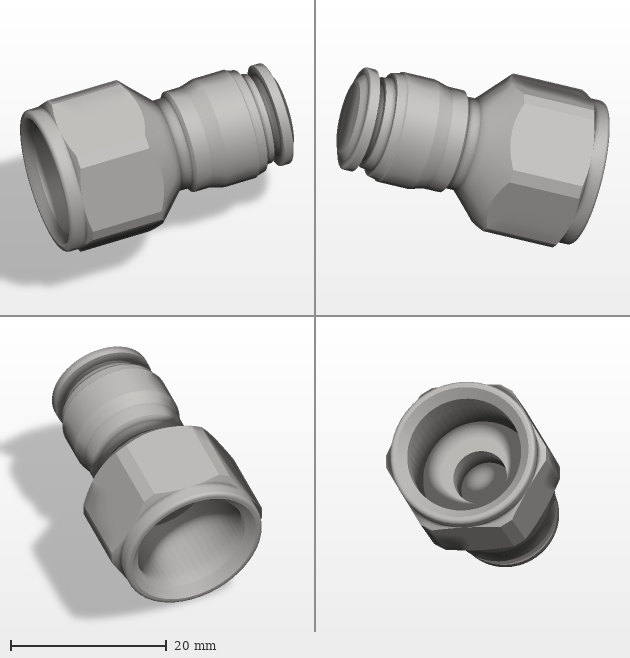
import cadquery as cq
import math

LENGTH = 32.4

ACROSS_FLATS = 19.0
ACROSS_CORNERS = 20.93
COLLAR_RADIUS = ACROSS_FLATS / 2
COLLAR_LENGTH = 2.05
COLLAR_FILLET = 0.5
HEX_CHAMFER_ANGLE = 30.0

NECK_RADIUS = 6.05
NECK_START = 16.5
CONE_BASE_RADIUS = 11.35
CONE_BASE_Y = NECK_START - (CONE_BASE_RADIUS - NECK_RADIUS)

BODY_START = 17.95
WAIST_RADIUS = 6.75
WAIST_START = 18.4
WAIST_END = 20.55
BODY_RADIUS = 7.25
BODY_TAPER_END = 22.45
BODY_END = 26.7
SHOULDER_START = 26.85
SHOULDER_BASE_RADIUS = 7.1
SHOULDER_TOP_RADIUS = 6.8
SHOULDER_END = 28.03
STEP_BASE_RADIUS = 6.15
STEP_TOP_RADIUS = 5.95
STEP_END = 29.25

STEM_RADIUS = 5.05
STEM_END = 29.9
STEM_FLARE_RADIUS = 5.38
FLANGE_RADIUS = WAIST_RADIUS
FLANGE_START = 30.35
FLANGE_END = 31.7
FLANGE_FILLET = 0.25
CAP_BASE_RADIUS = 5.8
CAP_TOP_RADIUS = 4.75

MOUTH_RADIUS = 8.65
BORE_RADIUS = 7.45
MOUTH_DEPTH = MOUTH_RADIUS - BORE_RADIUS
BORE_DEPTH = 12.3
PASSAGE_RADIUS = 3.5
PASSAGE_END = BODY_START


def revolve_about_y(points):
    """Revolve a closed outline of (radius, y) points around the Y axis."""
    return cq.Workplane("XY").polyline(points).close().revolve(360, (0, 0, 0), (0, 1, 0))


def hexagon(across_flats, turn):
    """Hexagonal prism along Y, from the collar to the narrow end of the cone."""
    across_points = across_flats / math.cos(math.radians(30))
    return (
        cq.Workplane("XZ", origin=(0, COLLAR_LENGTH, 0))
        .transformed(rotate=(0, 0, turn))
        .polygon(6, across_points)
        .extrude(COLLAR_LENGTH - NECK_START)
    )


def nut():
    """Hexagon with flattened corners, bounded by a chamfer in front and the cone behind."""
    prism = hexagon(ACROSS_FLATS, 0).intersect(hexagon(ACROSS_CORNERS, 30))
    chamfer_rise = (CONE_BASE_RADIUS - COLLAR_RADIUS) * math.tan(math.radians(HEX_CHAMFER_ANGLE))
    envelope = revolve_about_y([
        (0, COLLAR_LENGTH),
        (COLLAR_RADIUS, COLLAR_LENGTH),
        (CONE_BASE_RADIUS, COLLAR_LENGTH + chamfer_rise),
        (CONE_BASE_RADIUS, CONE_BASE_Y),
        (NECK_RADIUS, NECK_START),
        (0, NECK_START),
    ])
    return prism.intersect(envelope)


def collar():
    """Round collar at the open end with a rounded rim."""
    disc = cq.Workplane("XZ").circle(COLLAR_RADIUS).extrude(-COLLAR_LENGTH)
    return disc.faces("<Y").edges().fillet(COLLAR_FILLET)


def push_in_body():
    """Neck and stepped body behind the cone."""
    return revolve_about_y([
        (0, NECK_START),
        (NECK_RADIUS, NECK_START),
        (NECK_RADIUS, BODY_START),
        (WAIST_RADIUS, WAIST_START),
        (WAIST_RADIUS, WAIST_END),
        (BODY_RADIUS, BODY_TAPER_END),
        (BODY_RADIUS, BODY_END),
        (SHOULDER_BASE_RADIUS, SHOULDER_START),
        (SHOULDER_TOP_RADIUS, SHOULDER_END),
        (STEP_BASE_RADIUS, SHOULDER_END),
        (STEP_TOP_RADIUS, STEP_END),
        (0, STEP_END),
    ])


def release_ring():
    """Stem, flange and conical cap of the release ring."""
    ring = revolve_about_y([
        (0, STEP_END),
        (STEM_RADIUS, STEP_END),
        (STEM_RADIUS, STEM_END),
        (STEM_FLARE_RADIUS, FLANGE_START),
        (FLANGE_RADIUS, FLANGE_START),
        (FLANGE_RADIUS, FLANGE_END),
        (CAP_BASE_RADIUS, FLANGE_END),
        (CAP_TOP_RADIUS, LENGTH),
        (0, LENGTH),
    ])
    rim = cq.selectors.RadiusNthSelector(-1)
    outer_edge = ring.edges("%CIRCLE").edges(rim).edges(">Y")
    return ring.newObject(outer_edge.vals()).fillet(FLANGE_FILLET)


def openings():
    """Bore with a flared mouth, and the narrower blind passage in its floor."""
    return revolve_about_y([
        (0, 0),
        (MOUTH_RADIUS, 0),
        (BORE_RADIUS, MOUTH_DEPTH),
        (BORE_RADIUS, BORE_DEPTH),
        (PASSAGE_RADIUS, BORE_DEPTH),
        (PASSAGE_RADIUS, PASSAGE_END),
        (0, PASSAGE_END),
    ])


result = nut().union(collar()).union(push_in_body()).union(release_ring()).cut(openings())